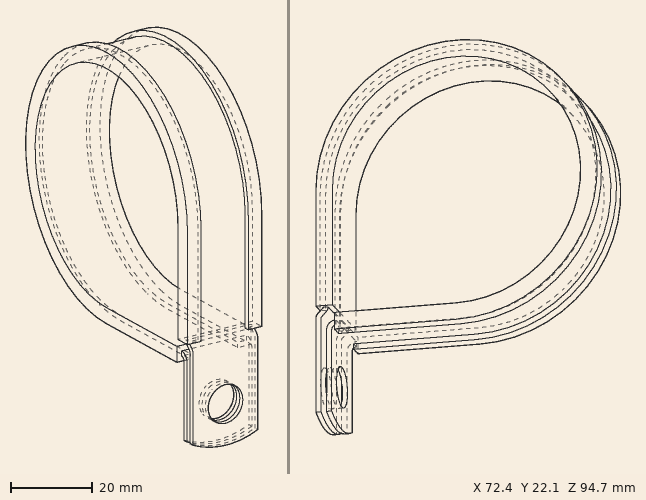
import cadquery as cq
import math

outer_radius = 36.0
cushion_thickness = 4.3
cushion_width = 22.1
vertical_arm_end = -29.75
horizontal_arm_end = 31.3

groove_depth = 1.4
groove_width = 14.0
strap_thickness = 1.3
strap_width = 19.2
strap_outer_radius = outer_radius - groove_depth
strap_mid_radius = strap_outer_radius - strap_thickness / 2
strap_overlap = 1.9

tab_bottom = -58.7
outer_tab_face = 36.4
inner_tab_face = 33.6
outer_tab_x = outer_tab_face - strap_thickness / 2
inner_tab_x = inner_tab_face - strap_thickness / 2
tab_end_rise = 2.1
hole_diameter = 10.2
hole_z = -47.75

jog_radius = 1.1
jog_angle = math.radians(45)
corner_radius = inner_tab_x - horizontal_arm_end


def loop_solid(radius, width):
    """Solid filling the loop outline of the given radius, centred on Y = 0."""
    return (
        cq.Workplane("XZ")
        .moveTo(radius, vertical_arm_end)
        .lineTo(radius, 0)
        .threePointArc((0, radius), (-radius, 0))
        .threePointArc((-radius * math.sqrt(0.5), -radius * math.sqrt(0.5)), (0, -radius))
        .lineTo(horizontal_arm_end, -radius)
        .lineTo(horizontal_arm_end, vertical_arm_end)
        .close()
        .extrude(width / 2, both=True)
    )


def make_cushion():
    inner_radius = outer_radius - cushion_thickness
    opening = loop_solid(inner_radius, cushion_width)
    corner = cq.Workplane("XY").box(
        inner_radius, cushion_width, inner_radius, centered=(False, True, False)
    ).translate((0, 0, -inner_radius))
    groove = loop_solid(outer_radius, groove_width).cut(
        loop_solid(strap_outer_radius, groove_width)
    )
    return loop_solid(outer_radius, cushion_width).cut(opening).cut(corner).cut(groove)


def make_outer_tab():
    """Strap leaving the vertical arm, stepped outwards by two equal and opposite bends."""
    side = jog_radius * (1 - math.cos(jog_angle))
    drop = jog_radius * math.sin(jog_angle)
    half_side = jog_radius * (1 - math.cos(jog_angle / 2))
    half_drop = jog_radius * math.sin(jog_angle / 2)
    slope_side = outer_tab_x - strap_mid_radius - 2 * side
    slope_drop = slope_side / math.tan(jog_angle)
    jog_end = vertical_arm_end - 2 * drop - slope_drop
    start_z = vertical_arm_end + strap_overlap
    path = (
        cq.Workplane("XZ")
        .moveTo(strap_mid_radius, start_z)
        .lineTo(strap_mid_radius, vertical_arm_end)
        .threePointArc(
            (strap_mid_radius + half_side, vertical_arm_end - half_drop),
            (strap_mid_radius + side, vertical_arm_end - drop),
        )
        .lineTo(outer_tab_x - side, jog_end + drop)
        .threePointArc((outer_tab_x - half_side, jog_end + half_drop), (outer_tab_x, jog_end))
        .lineTo(outer_tab_x, tab_bottom)
    )
    section = cq.Workplane("XY", origin=(strap_mid_radius, 0, start_z))
    return section.rect(strap_thickness, strap_width).sweep(path)


def make_inner_tab():
    """Strap leaving the horizontal arm, turned down by a quarter bend."""
    start_x = horizontal_arm_end - strap_overlap
    bend_end = -strap_mid_radius - corner_radius
    path = (
        cq.Workplane("XZ")
        .moveTo(start_x, -strap_mid_radius)
        .lineTo(horizontal_arm_end, -strap_mid_radius)
        .threePointArc(
            (
                horizontal_arm_end + corner_radius * math.sqrt(0.5),
                bend_end + corner_radius * math.sqrt(0.5),
            ),
            (inner_tab_x, bend_end),
        )
        .lineTo(inner_tab_x, tab_bottom)
    )
    section = cq.Workplane("YZ", origin=(start_x, 0, -strap_mid_radius))
    return section.rect(strap_width, strap_thickness).sweep(path)


def make_tab_outline():
    """Block along X whose lower end is the arc that both tabs are trimmed to."""
    half_width = strap_width / 2
    corner_z = tab_bottom + tab_end_rise
    return (
        cq.Workplane("YZ")
        .moveTo(-half_width, 0)
        .lineTo(-half_width, corner_z)
        .threePointArc((0, tab_bottom), (half_width, corner_z))
        .lineTo(half_width, 0)
        .close()
        .extrude(outer_tab_face)
    )


hole = (
    cq.Workplane("YZ")
    .center(0, hole_z)
    .circle(hole_diameter / 2)
    .extrude(outer_tab_face)
)
trim = make_tab_outline().cut(hole)

result = make_cushion()
for tab in (make_outer_tab(), make_inner_tab()):
    result = result.union(tab.intersect(trim))